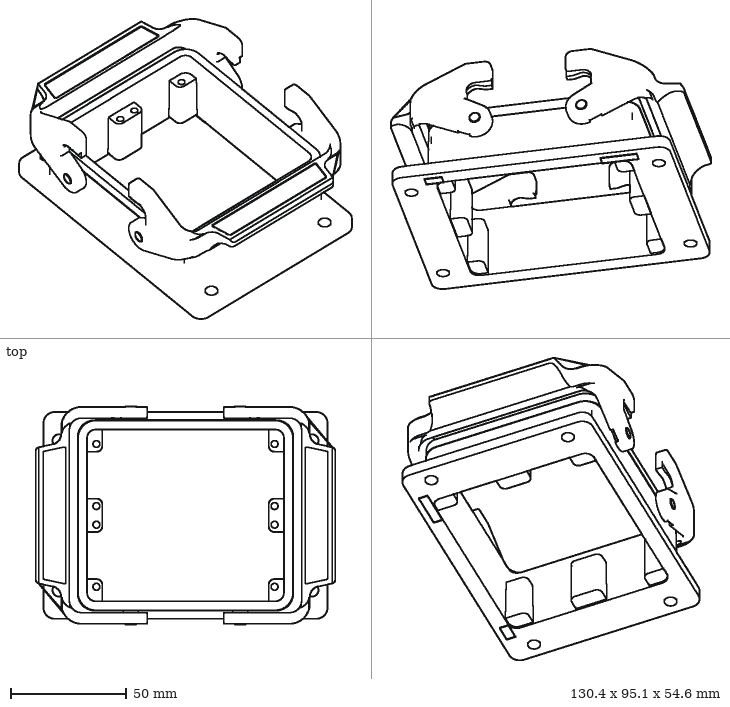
import cadquery as cq
import math

PLATE_LENGTH = 123.7
PLATE_WIDTH = 90
PLATE_THICKNESS = 6.3
PLATE_CORNER_RADIUS = 5.0
PLATE_EDGE_RADIUS = 1.0
MOUNT_HOLE_DIAMETER = 5.5
MOUNT_HOLE_X = 55.1
MOUNT_HOLE_Y = 32.5
MARK_HEIGHT = 0.4
MARK_WIDTH = 4.2
MARK_Y = 39.9
MARK_SPANS = ((-47.2, -31.0), (39.5, 47.2))

CAVITY_LENGTH = 85.6
CAVITY_WIDTH = 74.6
CAVITY_CORNER_RADIUS = 3.7
UPPER_FLARE_ANGLE = 0.5
LOWER_FLARE_ANGLE = 1
RIM_THICKNESS = 3.9
RIM_LEDGE = 0.3
RIM_CROWN = 0.5
RIM_EDGE_Z = 33.7
WALL_TOP_Z = 28.7
WALL_DRAFT_ANGLE = 0.7
WALL_FOOT_RADIUS = 1.8

BOSS_TOP_Z = 23.0
BOSS_BOTTOM_Z = 0.9
BOSS_INNER_X = 36.1
BOSS_CORNER_RADIUS = 2.6
CORNER_BOSS_INNER_Y = 27.7
MIDDLE_BOSS_WIDTH = 14.6
SCREW_HOLE_DIAMETER = 3.0
SCREW_HOLE_DEPTH = 10.5
SCREW_HOLE_TIP = 2.6
SCREW_HOLE_X = 38.8
SCREW_HOLE_Y = (4.0, 31.0)

PIVOT_X = 23.8
PIVOT_Z = 25.3
PIVOT_PIN_DIAMETER = 4.8
PIVOT_SHOULDER_DIAMETER = 6.5
PIVOT_SPAN = 95.1
PIN_CHAMFER = 0.3

ARM_OUTER_Y = 47.2
ARM_THICKNESS = 5.0
ARM_SLOPE = math.radians(25)
ARM_EDGE_RADIUS = 0.5
FOOT_RADIUS = 7.0
FRONT_SLOPE = math.radians(31)
LEVER_TOP_Z = 54.2
HOOK_TIP_X = 16.6
HOOK_TOP_X = 27.9
HOOK_BOTTOM_Z = 44.6
HOOK_TOP_RADIUS = 3.0
HOOK_SHOULDER_RADIUS = 2.0
HOOK_BOTTOM_RADIUS = 0.9
THROAT_X = 27.9
THROAT_RADIUS = 4.0
LIP_Z = 42.2
LIP_THICKNESS = 3.3
LIP_FLAT_X = 19.6
LIP_CREST = (-23.5, 43.2)
LIP_BACK = (-26.2, 42.4)
CROSSBAR_OUTER_X = 54.2
CROSSBAR_THICKNESS = 3.7
CROSSBAR_OUTER_RADIUS = 9.0
CROSSBAR_INNER_RADIUS = 5.1
CROSSBAR_BOTTOM_Z = 31.2
CROSSBAR_FLAT_Y = 35.9
HANDLE_TIP_X = 65.2
HANDLE_TOP_Z = 42.2
HANDLE_BOTTOM_Z = 38.1
HANDLE_BEVEL_LENGTH = 1.3
HANDLE_BEVEL_HEIGHT = 1.7
GRIP_CURVE_START_X = 54.7
GRIP_CURVE_MIDDLE = (57.7, 35.9)
GRIP_CURVE_END_X = 61.9
HANDLE_TIP_Y = 29.4
HANDLE_ROOT_Y = 31.7
HANDLE_CORNER_RADIUS = 2.0
HANDLE_ROOT_RADIUS = 4.6
RECESS_DEPTH = 0.5
RECESS_OUTER_X = 61.9
RECESS_OUTER_Y = 27.8
RECESS_INNER_X = 52.1
RECESS_INNER_Y = 29.9
RECESS_CORNER_RADIUS = 0.7
STOP_LENGTH = 5.9
STOP_DEPTH = 2.1
STOP_WIDTH = 1.6

PICK_MARGIN = 0.1

ARM_INNER_Y = ARM_OUTER_Y - ARM_THICKNESS
CROSSBAR_INNER_X = CROSSBAR_OUTER_X - CROSSBAR_THICKNESS
WALL_BASE_Z = PLATE_THICKNESS


def rounded_block(length, width, radius, z_bottom, z_top, growth=0):
    """Block centred on the Z axis with rounded corners; its sides spread by `growth` towards the top."""
    bottom = cq.Sketch().rect(length, width).vertices().fillet(radius)
    block = cq.Workplane("XY", origin=(0, 0, z_bottom))
    if growth == 0:
        return block.placeSketch(bottom).extrude(z_top - z_bottom)
    top = cq.Sketch().rect(length + 2 * growth, width + 2 * growth).vertices().fillet(radius + growth)
    return block.placeSketch(bottom, top.moved(cq.Location((0, 0, z_top - z_bottom)))).loft(ruled=True)


def plate():
    body = rounded_block(PLATE_LENGTH, PLATE_WIDTH, PLATE_CORNER_RADIUS, 0, PLATE_THICKNESS)
    return body.faces(">Z").edges().fillet(PLATE_EDGE_RADIUS)


def wall():
    """Drafted wall, solid inside, with a filleted foot on the plate."""
    draft_run = (WALL_TOP_Z - WALL_BASE_Z) * math.tan(math.radians(WALL_DRAFT_ANGLE))
    growth = RIM_THICKNESS + RIM_LEDGE + draft_run
    body = rounded_block(
        CAVITY_LENGTH + 2 * growth,
        CAVITY_WIDTH + 2 * growth,
        CAVITY_CORNER_RADIUS + growth,
        WALL_BASE_Z,
        WALL_TOP_Z,
        -draft_run,
    )
    foot_reach_y = CAVITY_WIDTH / 2 + growth + PICK_MARGIN
    foot = cq.selectors.BoxSelector(
        (-PLATE_LENGTH / 2 + PLATE_CORNER_RADIUS, -foot_reach_y, WALL_BASE_Z - PICK_MARGIN),
        (PLATE_LENGTH / 2 - PLATE_CORNER_RADIUS, foot_reach_y, WALL_BASE_Z + PICK_MARGIN),
    )
    return plate().union(body).edges(foot).fillet(WALL_FOOT_RADIUS)


def rim():
    """Upright rim, solid inside, carrying a shallow crown over its thickness."""
    upright = rounded_block(
        CAVITY_LENGTH + 2 * RIM_THICKNESS,
        CAVITY_WIDTH + 2 * RIM_THICKNESS,
        CAVITY_CORNER_RADIUS + RIM_THICKNESS,
        WALL_TOP_Z,
        RIM_EDGE_Z,
    )
    middle_block = rounded_block(
        CAVITY_LENGTH + RIM_THICKNESS,
        CAVITY_WIDTH + RIM_THICKNESS,
        CAVITY_CORNER_RADIUS + RIM_THICKNESS / 2,
        WALL_TOP_Z,
        RIM_EDGE_Z,
    )
    middle_path = middle_block.faces(">Z").wires()
    middle = (CAVITY_WIDTH + RIM_THICKNESS) / 2
    crown = (
        cq.Workplane("YZ")
        .moveTo(middle - RIM_THICKNESS / 2, RIM_EDGE_Z)
        .threePointArc((middle, RIM_EDGE_Z + RIM_CROWN), (middle + RIM_THICKNESS / 2, RIM_EDGE_Z))
        .close()
        .sweep(middle_path)
    )
    return upright.union(crown)


def cavity():
    """Opening through the housing: straight at the rim, flaring in two stages below it."""
    straight = rounded_block(
        CAVITY_LENGTH, CAVITY_WIDTH, CAVITY_CORNER_RADIUS, WALL_TOP_Z, RIM_EDGE_Z + RIM_CROWN
    )
    upper_growth = (WALL_TOP_Z - BOSS_TOP_Z) * math.tan(math.radians(UPPER_FLARE_ANGLE))
    lower_growth = upper_growth + BOSS_TOP_Z * math.tan(math.radians(LOWER_FLARE_ANGLE))
    upper_flare = rounded_block(
        CAVITY_LENGTH + 2 * upper_growth,
        CAVITY_WIDTH + 2 * upper_growth,
        CAVITY_CORNER_RADIUS + upper_growth,
        BOSS_TOP_Z,
        WALL_TOP_Z,
        -upper_growth,
    )
    lower_flare = rounded_block(
        CAVITY_LENGTH + 2 * lower_growth,
        CAVITY_WIDTH + 2 * lower_growth,
        CAVITY_CORNER_RADIUS + lower_growth,
        0,
        BOSS_TOP_Z,
        upper_growth - lower_growth,
    )
    return straight.union(upper_flare).union(lower_flare)


def screw_boss(side, width, y_center, rounded_edges):
    """One boss on the short wall at -X or +X, running into the wall behind it."""
    length = CAVITY_LENGTH / 2 + RIM_THICKNESS / 2 - BOSS_INNER_X
    height = BOSS_TOP_Z - BOSS_BOTTOM_Z
    block = cq.Workplane("XY").box(length, width, height, centered=(True, True, False))
    inner_edges = block.edges("|Z").edges("<X" if side > 0 else ">X")
    boss = inner_edges.edges(rounded_edges).fillet(BOSS_CORNER_RADIUS)
    return boss.translate((side * (BOSS_INNER_X + length / 2), y_center, BOSS_BOTTOM_Z))


def screw_bosses():
    """A middle boss and two corner bosses on each short wall."""
    corner_width = CAVITY_WIDTH / 2 + RIM_THICKNESS / 2 - CORNER_BOSS_INNER_Y
    corner_y = CORNER_BOSS_INNER_Y + corner_width / 2
    bosses = cq.Workplane("XY")
    for side in (-1, 1):
        bosses = bosses.add(screw_boss(side, MIDDLE_BOSS_WIDTH, 0, "|Z"))
        bosses = bosses.add(screw_boss(side, corner_width, -corner_y, ">Y"))
        bosses = bosses.add(screw_boss(side, corner_width, corner_y, "<Y"))
    return bosses.combine()


def screw_holes():
    """Blind holes with conical ends, entering the bosses from above."""
    radius = SCREW_HOLE_DIAMETER / 2
    hole = (
        cq.Workplane("XZ")
        .polyline([
            (0, BOSS_TOP_Z),
            (radius, BOSS_TOP_Z),
            (radius, BOSS_TOP_Z - SCREW_HOLE_DEPTH),
            (0, BOSS_TOP_Z - SCREW_HOLE_DEPTH - SCREW_HOLE_TIP),
        ])
        .close()
        .revolve()
        .val()
    )
    places = [
        (side * SCREW_HOLE_X, end * y) for side in (-1, 1) for end in (-1, 1) for y in SCREW_HOLE_Y
    ]
    return cq.Workplane("XY").pushPoints(places).eachpoint(lambda place: hole.moved(place))


def mount_holes():
    return (
        cq.Workplane("XY")
        .rect(2 * MOUNT_HOLE_X, 2 * MOUNT_HOLE_Y, forConstruction=True)
        .vertices()
        .circle(MOUNT_HOLE_DIAMETER / 2)
        .extrude(PLATE_THICKNESS)
    )


def marking_pads():
    """Two low raised strips under one long side of the plate."""
    pads = cq.Workplane("XY")
    for x_start, x_end in MARK_SPANS:
        pad = cq.Workplane("XY").box(
            x_end - x_start, MARK_WIDTH, MARK_HEIGHT, centered=(False, True, False)
        )
        pads = pads.add(pad.translate((x_start, MARK_Y, -MARK_HEIGHT)))
    return pads.combine()


def pivot_rods(diameter, span):
    """Rods along Y through both pivot axes, each centred on Y = 0."""
    return (
        cq.Workplane("XZ", origin=(0, -span / 2, PIVOT_Z))
        .pushPoints([(-PIVOT_X, 0), (PIVOT_X, 0)])
        .circle(diameter / 2)
        .extrude(-span)
    )


def build_housing():
    pins = pivot_rods(PIVOT_PIN_DIAMETER, PIVOT_SPAN).faces("<Y or >Y").chamfer(PIN_CHAMFER)
    shoulders = pivot_rods(PIVOT_SHOULDER_DIAMETER, 2 * ARM_INNER_Y)
    return (
        wall()
        .union(rim())
        .union(pins)
        .union(shoulders)
        .cut(cavity())
        .union(screw_bosses())
        .cut(screw_holes())
        .cut(mount_holes())
        .union(marking_pads())
    )


def polar(center, radius, angle):
    return (center[0] + radius * math.cos(angle), center[1] + radius * math.sin(angle))


def lever_side_profile():
    """Side outline of the lever at -X, extruded across the full width."""
    pivot = (-PIVOT_X, PIVOT_Z)
    foot_front = polar(pivot, FOOT_RADIUS, math.pi / 2 - FRONT_SLOPE)
    foot_right = polar(pivot, FOOT_RADIUS, 0)
    foot_bottom = polar(pivot, FOOT_RADIUS, -math.pi / 2 - ARM_SLOPE)
    throat_bottom_z = foot_front[1] + (foot_front[0] + THROAT_X) * math.tan(FRONT_SLOPE)
    throat_center = (THROAT_RADIUS - THROAT_X, HOOK_BOTTOM_Z - THROAT_RADIUS)
    throat_middle = polar(throat_center, THROAT_RADIUS, math.radians(135))
    handle_top_x = HOOK_TOP_X + (LEVER_TOP_Z - HANDLE_TOP_Z) / math.tan(ARM_SLOPE)
    heel_x = -foot_bottom[0] + (CROSSBAR_BOTTOM_Z - foot_bottom[1]) / math.tan(ARM_SLOPE)
    profile = (
        cq.Workplane("XZ", origin=(0, -ARM_OUTER_Y, 0))
        .moveTo(-HOOK_TOP_X, LEVER_TOP_Z)
        .lineTo(-HOOK_TIP_X, LEVER_TOP_Z)
        .lineTo(-HOOK_TIP_X, HOOK_BOTTOM_Z)
        .lineTo(throat_center[0], HOOK_BOTTOM_Z)
        .threePointArc(throat_middle, (-THROAT_X, throat_center[1]))
        .lineTo(-THROAT_X, throat_bottom_z)
        .lineTo(*foot_front)
        .threePointArc(foot_right, foot_bottom)
        .lineTo(-heel_x, CROSSBAR_BOTTOM_Z)
        .lineTo(-GRIP_CURVE_START_X, CROSSBAR_BOTTOM_Z)
        .threePointArc(
            (-GRIP_CURVE_MIDDLE[0], GRIP_CURVE_MIDDLE[1]), (-GRIP_CURVE_END_X, HANDLE_BOTTOM_Z)
        )
        .lineTo(-HANDLE_TIP_X, HANDLE_BOTTOM_Z)
        .lineTo(-HANDLE_TIP_X, HANDLE_TOP_Z - HANDLE_BEVEL_HEIGHT)
        .lineTo(HANDLE_BEVEL_LENGTH - HANDLE_TIP_X, HANDLE_TOP_Z)
        .lineTo(-handle_top_x, HANDLE_TOP_Z)
        .close()
        .extrude(-2 * ARM_OUTER_Y)
    )
    tip = profile.edges("|Y").edges(">X")
    profile = tip.edges(">Z").fillet(HOOK_TOP_RADIUS)
    tip_bottom = cq.selectors.NearestToPointSelector((-HOOK_TIP_X, 0, HOOK_BOTTOM_Z))
    shoulder = cq.selectors.NearestToPointSelector((-HOOK_TOP_X, 0, LEVER_TOP_Z))
    profile = profile.edges("|Y").edges(shoulder).fillet(HOOK_SHOULDER_RADIUS)
    return profile.edges("|Y").edges(tip_bottom).fillet(HOOK_BOTTOM_RADIUS)


def lever_plan_shape():
    """Outline of the lever from above: two arms, a crossbar and a handle."""
    frame = (
        cq.Workplane("XY")
        .box(CROSSBAR_OUTER_X, 2 * ARM_OUTER_Y, LEVER_TOP_Z, centered=(False, True, False))
        .translate((-CROSSBAR_OUTER_X, 0, 0))
        .edges("|Z and <X")
        .fillet(CROSSBAR_OUTER_RADIUS)
    )
    opening = (
        cq.Workplane("XY")
        .box(CROSSBAR_INNER_X, 2 * ARM_INNER_Y, LEVER_TOP_Z, centered=(False, True, False))
        .translate((-CROSSBAR_INNER_X, 0, 0))
        .edges("|Z and <X")
        .fillet(CROSSBAR_INNER_RADIUS)
    )
    handle = (
        cq.Workplane("XY")
        .polyline([
            (-HANDLE_TIP_X, -HANDLE_TIP_Y),
            (-CROSSBAR_OUTER_X, -HANDLE_ROOT_Y),
            (-CROSSBAR_INNER_X, -HANDLE_ROOT_Y),
            (-CROSSBAR_INNER_X, HANDLE_ROOT_Y),
            (-CROSSBAR_OUTER_X, HANDLE_ROOT_Y),
            (-HANDLE_TIP_X, HANDLE_TIP_Y),
        ])
        .close()
        .extrude(LEVER_TOP_Z)
        .edges("|Z and <X")
        .fillet(HANDLE_CORNER_RADIUS)
    )
    shape = frame.cut(opening).union(handle)
    for end in (-1, 1):
        root = cq.selectors.NearestToPointSelector(
            (-CROSSBAR_OUTER_X, end * HANDLE_ROOT_Y, LEVER_TOP_Z / 2)
        )
        shape = shape.edges("|Z").edges(root).fillet(HANDLE_ROOT_RADIUS)
    return shape


def crossbar_clearance(flat_z, direction):
    """Space above (+1) or below (-1) the flat crossbar, its sides curving into the arms."""
    radius = ARM_INNER_Y - CROSSBAR_FLAT_Y
    far_z = flat_z + direction * radius
    bend = -direction * math.radians(45)
    right_middle = polar((CROSSBAR_FLAT_Y, far_z), radius, bend)
    left_middle = polar((-CROSSBAR_FLAT_Y, far_z), radius, math.pi - bend)
    return (
        cq.Workplane("YZ", origin=(-CROSSBAR_OUTER_X, 0, 0))
        .moveTo(-CROSSBAR_FLAT_Y, flat_z)
        .lineTo(CROSSBAR_FLAT_Y, flat_z)
        .threePointArc(right_middle, (ARM_INNER_Y, far_z))
        .lineTo(-ARM_INNER_Y, far_z)
        .threePointArc(left_middle, (-CROSSBAR_FLAT_Y, flat_z))
        .close()
        .extrude(CROSSBAR_INNER_RADIUS)
    )


def handle_recess():
    """Shallow panel sunk into the top of the handle."""
    return (
        cq.Workplane("XY", origin=(0, 0, HANDLE_TOP_Z - RECESS_DEPTH))
        .polyline([
            (-RECESS_OUTER_X, -RECESS_OUTER_Y),
            (-RECESS_INNER_X, -RECESS_INNER_Y),
            (-RECESS_INNER_X, RECESS_INNER_Y),
            (-RECESS_OUTER_X, RECESS_OUTER_Y),
        ])
        .close()
        .extrude(2 * RECESS_DEPTH)
        .edges("|Z")
        .fillet(RECESS_CORNER_RADIUS)
    )


def hook_lips():
    """Curved catches below both hooks, flush with the inner faces of the arms."""
    lips = cq.Workplane("XY")
    for y_start in (-ARM_INNER_Y - LIP_THICKNESS, ARM_INNER_Y):
        lip = (
            cq.Workplane("XZ", origin=(0, y_start, 0))
            .moveTo(-HOOK_TIP_X, LIP_Z)
            .lineTo(-LIP_FLAT_X, LIP_Z)
            .lineTo(*LIP_CREST)
            .threePointArc(LIP_BACK, (-THROAT_X, HOOK_BOTTOM_Z - THROAT_RADIUS))
            .lineTo(-THROAT_X, HOOK_BOTTOM_Z + HOOK_BOTTOM_RADIUS)
            .lineTo(-HOOK_TIP_X, HOOK_BOTTOM_Z + HOOK_BOTTOM_RADIUS)
            .close()
            .extrude(-LIP_THICKNESS)
        )
        lips = lips.add(lip)
    return lips.combine()


def stop_notches():
    """Notches in the inner lower edge of both arms, next to the feet."""
    end = polar((-PIVOT_X, PIVOT_Z), FOOT_RADIUS, -math.pi / 2 - ARM_SLOPE)
    notches = cq.Workplane("XY")
    for side in (-1, 1):
        notch = (
            cq.Workplane("XY")
            .box(STOP_LENGTH, STOP_WIDTH, 2 * STOP_DEPTH)
            .translate((-STOP_LENGTH / 2, side * (ARM_INNER_Y + STOP_WIDTH / 2), 0))
            .rotate((0, 0, 0), (0, 1, 0), math.degrees(ARM_SLOPE))
            .translate((end[0], 0, end[1]))
        )
        notches = notches.add(notch)
    return notches.combine()


def arm_face_outlines(body):
    """Edges bounding the flat inner and outer faces of both arms, up to the crossbar corners."""
    outlines = body.newObject([])
    for face_y in (-ARM_OUTER_Y, -ARM_INNER_Y, ARM_INNER_Y, ARM_OUTER_Y):
        beside_face = cq.selectors.BoxSelector(
            (CROSSBAR_OUTER_RADIUS - CROSSBAR_OUTER_X + PICK_MARGIN, face_y - PICK_MARGIN, 0),
            (0, face_y + PICK_MARGIN, LEVER_TOP_Z + PICK_MARGIN),
        )
        outlines = outlines.add(body.edges(beside_face))
    return outlines


def build_lever():
    """Lever at the -X end of the housing."""
    body = (
        lever_plan_shape()
        .intersect(lever_side_profile())
        .cut(crossbar_clearance(HANDLE_TOP_Z, 1))
        .cut(crossbar_clearance(CROSSBAR_BOTTOM_Z, -1))
        .union(hook_lips())
    )
    return (
        arm_face_outlines(body)
        .fillet(ARM_EDGE_RADIUS)
        .cut(handle_recess())
        .cut(stop_notches())
        .cut(pivot_rods(PIVOT_PIN_DIAMETER, PIVOT_SPAN))
    )


housing = build_housing()
lever = build_lever()
levers = [lever.rotate((0, 0, 0), (0, 0, 1), angle) for angle in (0, 180)]

result = cq.Compound.makeCompound([housing.val(), *[copy.val() for copy in levers]])